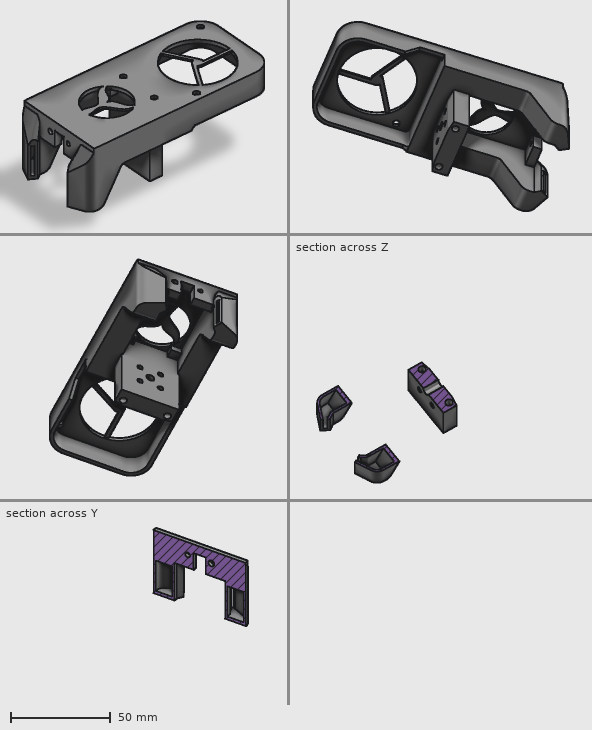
import cadquery as cq
import math


body_width = 55.0
body_length = 116.9
hook_reach = 7.5
half_width = body_width / 2
rear_corner_radius = 11.5
rear_depth = 14.9
main_depth = 17.2
leg_depth = 38.5
step_y = 63.5
step_length = 2.5
step_mid_length = 1.0
step_mid_depth = 15.8
plate_thickness = 2.4
wall = 2.0

leg_corner_radius = 6.0
leg_corner_start_y = 1.9
hook_angle = 24.5
hook_inner_x = 12.9
hook_inner_y = -3.1
leg_inner_x = 15.0
leg_slope_top_y = 18.3
leg_slope_bottom_y = 5.5
leg_top_radius = 3.5
leg_toe_radius = 5.0
nose_top_depth = 2.9
nose_bottom_depth = 17.8

hook_round_radius = 2.0
hook_round_top_x = 17.4

slot_length = 2.5
slot_top_depth = 18.3
slot_bottom_depth = 36.3

leg_wall = 1.5
chamber_ramp_y = 4.4

front_wall = 4.6
front_wall_depth = 15.7
front_notch_width = 7.1
front_notch_depth = 5.6
front_hole_depth = 7.8
left_front_hole_x = -7.0
left_front_hole_diameter = 3.2
right_front_hole_x = 7.1
right_front_hole_diameter = 2.6

tongue_width = 31.6
tongue_front_y = 45.9
tongue_thickness = 9.2
tongue_depth = 46.5
tongue_bevel_depth = 1.0
tongue_bevel_width = 5.6
tongue_center_depth = 28.5
tongue_center_diameter = 4.4
tongue_hole_pitch = 11.2
tongue_hole_diameter = 3.0

screw_diameter = 3.6
corner_screws = [(-21.0, 109.6), (22.5, 70.8)]
tongue_screw_x = 12.1
tongue_screw_y = 51.9

block_inner_x = 9.3
block_length = 4.7
block_bottom_depth = 6.2

notch_front_y = step_y
notch_top_rear_y = 76.4
notch_bottom_rear_y = 84.3
notch_top_depth = 7.0

grille_thickness = 1.2
large_center = (2.1, 88.6)
large_radius = 20.0
hub_radius = 3.0
spoke_width = 2.1
small_center = (0, 31.1)
small_radius = 14.0
overlap = 1.2

through = 62.2


def box(x0, x1, y0, y1, z0, z1):
    """Block between the given limits on each axis."""
    return cq.Workplane("XY").box(x1 - x0, y1 - y0, z1 - z0, centered=False).translate((x0, y0, z0))


def mirrored(solid):
    """The solid together with its mirror image on the other side of X = 0."""
    return solid.union(solid.mirror("YZ"))


def vertical_hole(x, y, diameter):
    return cq.Workplane("XY").center(x, y).circle(diameter / 2).extrude(-through)


def lengthwise_hole(x, depth, diameter, y0, y1):
    """Hole along Y between y0 and y1."""
    hole = cq.Workplane("XZ").center(x, -depth).circle(diameter / 2).extrude(y0 - y1)
    return hole.translate((0, y0, 0))


turn = math.radians(90 - hook_angle)
corner_center_x = half_width - leg_corner_radius
corner_end_x = corner_center_x + leg_corner_radius * math.cos(turn)
corner_end_y = leg_corner_start_y - leg_corner_radius * math.sin(turn)
corner_mid_x = corner_center_x + leg_corner_radius * math.cos(turn / 2)
corner_mid_y = leg_corner_start_y - leg_corner_radius * math.sin(turn / 2)
tip_x = corner_end_x - (hook_reach + corner_end_y) / math.tan(math.radians(hook_angle))
tip_y = -hook_reach


def hook_outline(sketch):
    """Continue a plan outline around the right hook, from the front wall to the right side."""
    return (
        sketch.lineTo(leg_inner_x, 0)
        .lineTo(hook_inner_x, hook_inner_y)
        .lineTo(tip_x, tip_y)
        .lineTo(corner_end_x, corner_end_y)
        .threePointArc((corner_mid_x, corner_mid_y), (half_width, leg_corner_start_y))
    )


def plan_solid():
    """Right half of the plan outline, mirrored and carried down to the feet of the legs."""
    corner_shift = rear_corner_radius * (1 - math.sqrt(0.5))
    half = (
        hook_outline(cq.Workplane("XY").moveTo(0, 0))
        .lineTo(half_width, body_length - rear_corner_radius)
        .threePointArc(
            (half_width - corner_shift, body_length - corner_shift),
            (half_width - rear_corner_radius, body_length),
        )
        .lineTo(0, body_length)
        .close()
        .extrude(-leg_depth)
    )
    return mirrored(half)


def side_solid():
    """Side outline: sloping nose, legs, main body and the shallower rear."""
    side = (
        cq.Workplane("YZ")
        .moveTo(body_length, 0)
        .lineTo(0, 0)
        .lineTo(0, -nose_top_depth)
        .lineTo(-hook_reach, -nose_bottom_depth)
        .lineTo(-hook_reach, -leg_depth)
        .lineTo(leg_slope_bottom_y, -leg_depth)
        .lineTo(leg_slope_top_y, -main_depth)
        .lineTo(step_y, -main_depth)
        .threePointArc((step_y + step_mid_length, -step_mid_depth), (step_y + step_length, -rear_depth))
        .lineTo(body_length, -rear_depth)
        .close()
        .extrude(half_width, both=True)
    )
    leg_edges = [
        (leg_slope_bottom_y, leg_depth, leg_toe_radius),
        (leg_slope_top_y, main_depth, leg_top_radius),
    ]
    for y, depth, radius in leg_edges:
        side = side.edges(cq.selectors.NearestToPointSelector((0, y, -depth))).fillet(radius)
    return side


tip_direction = cq.Vector(hook_inner_x - tip_x, hook_inner_y - tip_y, 0).normalized()
tip_outward = cq.Vector(-tip_direction.y, tip_direction.x, 0)
tip_width = math.dist((tip_x, tip_y), (hook_inner_x, hook_inner_y))
tip_middle = cq.Vector((tip_x + hook_inner_x) / 2, (tip_y + hook_inner_y) / 2, 0)


def hook_round():
    """Waste above a rounded ridge that climbs from the tip face to the top of the nose at the front wall.

    In the tip face the round is tangent to the sloping nose and to the upright inner edge.
    """
    slope = (nose_bottom_depth - nose_top_depth) / hook_reach * tip_direction.y
    slope_length = math.hypot(1, slope)
    center_along = tip_width - hook_round_radius
    center_z = -nose_bottom_depth + slope * center_along - hook_round_radius * slope_length
    start_along = center_along - hook_round_radius * slope / slope_length
    start_z = center_z + hook_round_radius / slope_length

    frame = cq.Plane(origin=(tip_x, tip_y, 0), xDir=tip_direction.toTuple(), normal=tip_outward.toTuple())
    up = frame.yDir.z
    profile = (
        cq.Workplane(frame)
        .moveTo(start_along, up * start_z)
        .threePointArc((center_along, up * (center_z + hook_round_radius)), (tip_width, up * center_z))
        .lineTo(2 * tip_width, up * center_z)
        .lineTo(2 * tip_width, 0)
        .lineTo(start_along, 0)
        .close()
    )
    climb_start = cq.Vector(tip_x, tip_y, start_z) + tip_direction * start_along
    climb = cq.Vector(hook_round_top_x, 0, -nose_top_depth) - climb_start
    waste = cq.Workplane(cq.Solid.extrudeLinear(profile.val(), [], climb * 2))
    return waste.intersect(box(0, half_width, -hook_reach, 0, -leg_depth, 0))


def tip_slot():
    """Upright slot running into the tip face."""
    height = slot_bottom_depth - slot_top_depth
    center = tip_middle + cq.Vector(0, 0, -(slot_top_depth + slot_bottom_depth) / 2)
    frame = cq.Plane(origin=center.toTuple(), xDir=tip_direction.toTuple(), normal=tip_outward.toTuple())
    return cq.Workplane(frame).rect(tip_width - 2 * leg_wall, height).extrude(-slot_length)


def leg_chamber():
    """Hollow behind the slot, with a floor that rises parallel to the sloping back of the leg."""
    leg_slope = (leg_depth - main_depth) / (leg_slope_top_y - leg_slope_bottom_y)
    ramp_length = (slot_bottom_depth - slot_top_depth) / leg_slope
    ramp_top_y = chamber_ramp_y + ramp_length
    floor = cq.Workplane("XY", origin=(0, 0, -slot_bottom_depth))
    plan = (
        hook_outline(floor.moveTo(leg_inner_x, ramp_top_y))
        .lineTo(half_width, ramp_top_y)
        .close()
        .offset2D(-leg_wall)
        .extrude(slot_bottom_depth - slot_top_depth)
    )
    below_ramp = (
        cq.Workplane("YZ")
        .moveTo(chamber_ramp_y, -slot_bottom_depth)
        .lineTo(ramp_top_y, -slot_bottom_depth)
        .lineTo(ramp_top_y, -slot_top_depth)
        .close()
        .extrude(half_width)
    )
    return plan.cut(below_ramp)


def rear_room():
    room = box(
        wall - half_width, half_width - wall, step_y, body_length - wall, -through, -plate_thickness
    )
    room = room.edges("|Z and >Y").fillet(rear_corner_radius - wall)
    return room.edges("|Z and <Y").fillet(wall)


def front_room():
    """Open space between the legs, leaving a notched wall across the front."""
    room = box(-leg_inner_x, leg_inner_x, front_wall, tongue_front_y, -through, -plate_thickness)
    below_wall = box(-leg_inner_x, leg_inner_x, 0, front_wall, -through, -front_wall_depth)
    half_notch = front_notch_width / 2
    notch = box(-half_notch, half_notch, 0, front_wall, -through, -front_notch_depth)
    return room.union(below_wall).union(notch)


def side_notch():
    return (
        cq.Workplane("YZ", origin=(-half_width, 0, 0))
        .moveTo(notch_front_y, -notch_top_depth)
        .lineTo(notch_top_rear_y, -notch_top_depth)
        .lineTo(notch_bottom_rear_y, -rear_depth)
        .lineTo(notch_bottom_rear_y, -through)
        .lineTo(notch_front_y, -through)
        .close()
        .extrude(2 * wall)
    )


def tongue():
    """Upright plate with bevelled rear edges and a five-hole mounting pattern."""
    half = tongue_width / 2
    rear_y = tongue_front_y + tongue_thickness
    plate = (
        cq.Workplane("XY")
        .polyline(
            [
                (-half, tongue_front_y),
                (half, tongue_front_y),
                (half, rear_y - tongue_bevel_depth),
                (half - tongue_bevel_width, rear_y),
                (tongue_bevel_width - half, rear_y),
                (-half, rear_y - tongue_bevel_depth),
            ]
        )
        .close()
        .extrude(plate_thickness - tongue_depth)
        .translate((0, 0, -plate_thickness))
    )
    holes = [(0, tongue_center_depth, tongue_center_diameter)]
    for side in (-1, 1):
        for level in (-1, 1):
            x = side * tongue_hole_pitch / 2
            depth = tongue_center_depth + level * tongue_hole_pitch / 2
            holes.append((x, depth, tongue_hole_diameter))
    for x, depth, diameter in holes:
        plate = plate.cut(lengthwise_hole(x, depth, diameter, tongue_front_y, rear_y))
    return plate


def window(center, radius):
    return cq.Workplane("XY").center(*center).circle(radius).extrude(-plate_thickness)


def pinwheel_grille():
    """Hub with three spokes, each flush with one side of the hub."""
    grille = cq.Workplane("XY").circle(hub_radius).extrude(-grille_thickness)
    spoke = box(hub_radius - spoke_width, hub_radius, 0, large_radius, -grille_thickness, 0)
    for angle in (0, 120, 240):
        grille = grille.union(spoke.rotate((0, 0, 0), (0, 0, 1), angle))
    return grille.translate((*large_center, 0))


def tail_grille():
    """Whale-tail shape: a waisted stem that spreads into two curved arms."""
    cusp = (0, 0.2)
    upper_arm = [(3.6, 4.0), (8.7, 6.3), (10.5, 9.2)]
    arm_end = [(11.1, 10.2), (12.7, 8.6), (12.0, 7.5)]
    lower_arm = [(10.7, 3.4), (6.6, -0.4), (2.9, -3.2), (1.4, -5.6)]
    stem = [(1.4, -7.3), (2.1, -10.5), (2.7, -13.5)]
    half = (
        cq.Workplane("XY")
        .moveTo(*cusp)
        .spline(upper_arm, includeCurrent=True)
        .polyline(arm_end, includeCurrent=True)
        .spline(lower_arm + stem, includeCurrent=True)
        .lineTo(stem[-1][0], -small_radius - overlap)
        .lineTo(0, -small_radius - overlap)
        .close()
        .extrude(-grille_thickness)
    )
    opening = cq.Workplane("XY").circle(small_radius + overlap).extrude(-grille_thickness)
    return mirrored(half).intersect(opening).translate((*small_center, 0))


def corner_block():
    """Block under the grille level where the right side wall meets the cross wall."""
    front_y = tongue_front_y - block_length
    return box(block_inner_x, leg_inner_x, front_y, tongue_front_y, -block_bottom_depth, -grille_thickness)


result = plan_solid().intersect(side_solid())
result = result.cut(mirrored(hook_round()))
result = result.cut(mirrored(tip_slot())).cut(mirrored(leg_chamber()))
result = result.cut(rear_room()).cut(front_room()).cut(side_notch())
result = result.union(tongue())

result = result.cut(window(large_center, large_radius)).union(pinwheel_grille())
result = result.cut(window(small_center, small_radius)).union(tail_grille())
result = result.union(mirrored(corner_block()))

tongue_screws = [(-tongue_screw_x, tongue_screw_y), (tongue_screw_x, tongue_screw_y)]
for x, y in corner_screws + tongue_screws:
    result = result.cut(vertical_hole(x, y, screw_diameter))

front_holes = [
    (left_front_hole_x, left_front_hole_diameter),
    (right_front_hole_x, right_front_hole_diameter),
]
for x, diameter in front_holes:
    result = result.cut(lengthwise_hole(x, front_hole_depth, diameter, 0, front_wall))